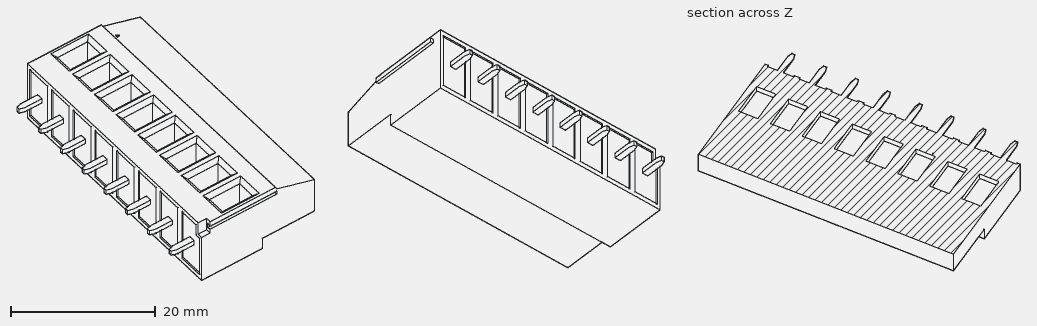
import cadquery as cq

POLES = 8
PITCH = 5.0
BODY_WIDTH = 40.05
BODY_DEPTH = 19.5
BODY_HEIGHT = 10.5
FIRST_POLE_X = (BODY_WIDTH - (POLES - 1) * PITCH) / 2
POLE_POSITIONS = [FIRST_POLE_X + i * PITCH for i in range(POLES)]

REAR_TOP_Z = 8.05
STEP_Y = 13.0
STEP_DROP = 0.45
STEP_RUN = 0.25
UNDERCUT_HEIGHT = 1.95
UNDERCUT_START_Y = 10.5

DOVETAIL_END_Y = STEP_Y
DOVETAIL_REACH = 0.55
DOVETAIL_TIP_HEIGHT = 0.8
DOVETAIL_ROOT_HEIGHT = 0.53
DOVETAIL_CENTER_Z = BODY_HEIGHT - 1.18

NOTCH_WIDTH = 0.8
NOTCH_DEPTH = 1.45
NOTCH_HEIGHT = 2.2

RECESS_WIDTH = 4.05
RECESS_MARGIN_Z = 0.77
RECESS_DEPTH = 0.25
NOTCH_WALL = 0.53

MOUTH_WIDTH = 4.25
MOUTH_FRONT_Y = 3.75
MOUTH_LENGTH = 6.5
MOUTH_INSET = 0.65
MOUTH_DEPTH = 0.6
WELL_DEPTH = 6.1

MARKER_WIDTH = 0.5
MARKER_LENGTH = 0.55
MARKER_BASE_Y = 13.45
MARKER_DEPTH = 0.1

PIN_WIDTH = 0.97
PIN_HEIGHT = 0.8
PIN_LENGTH = 3.55
PIN_CENTER_Z = 5.55
PIN_TIP_LENGTH = 0.8
PIN_TIP_WIDTH = 0.5


def box(x_min, y_min, z_min, x_size, y_size, z_size):
    """Box placed by its lowest corner."""
    block = cq.Workplane("XY").box(x_size, y_size, z_size, centered=False)
    return block.translate((x_min, y_min, z_min))


def make_body():
    """Side profile swept along the full width."""
    profile = [
        (0, 0),
        (UNDERCUT_START_Y, 0),
        (UNDERCUT_START_Y, UNDERCUT_HEIGHT),
        (BODY_DEPTH, UNDERCUT_HEIGHT),
        (BODY_DEPTH, REAR_TOP_Z),
        (STEP_Y, BODY_HEIGHT - STEP_DROP),
        (STEP_Y - STEP_RUN, BODY_HEIGHT),
        (0, BODY_HEIGHT),
    ]
    return cq.Workplane("YZ").polyline(profile).close().extrude(BODY_WIDTH)


def make_dovetail(root_x):
    """Dovetail bar pointing toward -X, widest at its outer face."""
    tip_x = root_x - DOVETAIL_REACH
    section = [
        (root_x, DOVETAIL_CENTER_Z - DOVETAIL_ROOT_HEIGHT / 2),
        (root_x, DOVETAIL_CENTER_Z + DOVETAIL_ROOT_HEIGHT / 2),
        (tip_x, DOVETAIL_CENTER_Z + DOVETAIL_TIP_HEIGHT / 2),
        (tip_x, DOVETAIL_CENTER_Z - DOVETAIL_TIP_HEIGHT / 2),
    ]
    bar = cq.Workplane("XZ").polyline(section).close().extrude(NOTCH_DEPTH - DOVETAIL_END_Y)
    return bar.translate((0, NOTCH_DEPTH, 0))


def make_corner_notch(wall, depth):
    """Upper right front corner block, enlarged by a wall toward the inside."""
    width = NOTCH_WIDTH + wall
    height = NOTCH_HEIGHT + wall
    return box(BODY_WIDTH - width, 0, BODY_HEIGHT - height, width, depth, height)


def make_recesses():
    """Row of front recesses; the last one leaves a wall around the corner notch."""
    height = BODY_HEIGHT - 2 * RECESS_MARGIN_Z
    recesses = cq.Workplane("XY")
    for x in POLE_POSITIONS:
        left_x = x - RECESS_WIDTH / 2
        recesses = recesses.add(box(left_x, 0, RECESS_MARGIN_Z, RECESS_WIDTH, RECESS_DEPTH, height))
    return recesses.combine().cut(make_corner_notch(NOTCH_WALL, RECESS_DEPTH))


def make_opening(x):
    """Tapered mouth and straight well of one wire opening."""
    well_width = MOUTH_WIDTH - 2 * MOUTH_INSET
    well_length = MOUTH_LENGTH - 2 * MOUTH_INSET
    mouth = (
        cq.Workplane("XY")
        .rect(MOUTH_WIDTH, MOUTH_LENGTH)
        .workplane(offset=-MOUTH_DEPTH)
        .rect(well_width, well_length)
        .loft(ruled=True)
    )
    well = box(-well_width / 2, -well_length / 2, -WELL_DEPTH, well_width, well_length, WELL_DEPTH)
    return mouth.union(well).translate((x, MOUTH_FRONT_Y + MOUTH_LENGTH / 2, BODY_HEIGHT))


def make_marker():
    """Triangular prism whose floor follows the slope at a small depth."""
    triangle = (
        cq.Workplane("XY")
        .polyline([
            (FIRST_POLE_X - MARKER_WIDTH / 2, MARKER_BASE_Y),
            (FIRST_POLE_X + MARKER_WIDTH / 2, MARKER_BASE_Y),
            (FIRST_POLE_X, MARKER_BASE_Y + MARKER_LENGTH),
        ])
        .close()
        .extrude(BODY_HEIGHT)
    )
    return triangle.cut(make_body().translate((0, 0, -MARKER_DEPTH)))


def make_pin(x):
    """Flat pin with a tapered tip, rooted in the recess floor."""
    shoulder_y = PIN_TIP_LENGTH - PIN_LENGTH
    outline = [
        (-PIN_WIDTH / 2, RECESS_DEPTH),
        (-PIN_WIDTH / 2, shoulder_y),
        (-PIN_TIP_WIDTH / 2, -PIN_LENGTH),
        (PIN_TIP_WIDTH / 2, -PIN_LENGTH),
        (PIN_WIDTH / 2, shoulder_y),
        (PIN_WIDTH / 2, RECESS_DEPTH),
    ]
    pin = cq.Workplane("XY").polyline(outline).close().extrude(PIN_HEIGHT)
    return pin.translate((x, 0, PIN_CENTER_Z - PIN_HEIGHT / 2))


result = make_body().union(make_dovetail(0))
result = result.cut(make_dovetail(BODY_WIDTH))
result = result.cut(make_corner_notch(0, NOTCH_DEPTH))
result = result.cut(make_recesses())
result = result.cut(make_marker())
for pole_x in POLE_POSITIONS:
    result = result.cut(make_opening(pole_x))
    result = result.union(make_pin(pole_x))